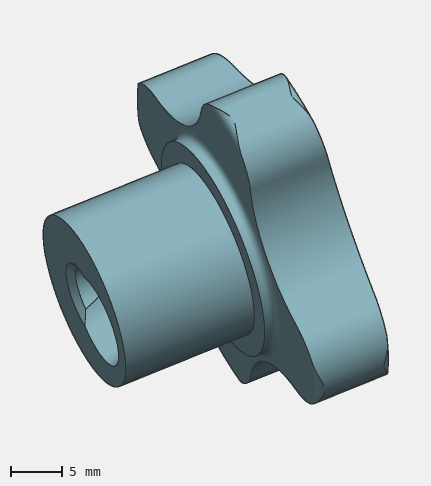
import cadquery as cq
import math


overall_length = 25.0
collar_start = 14.0
head_start = 15.4

hub_radius = 18.0 / 2
collar_radius = 22.5 / 2
collar_fillet = 0.7

lobe_count = 4
head_radius = 40.0 / 2
lobe_radius = 5.43
scallop_radius = 12.1
crown_radius = 120.0
rim_fillet = 1.0
tip_clearance = 0.01

bore_radius = 6.6 / 2
bore_mouth_radius = 8.0 / 2
tilted_bore_radius = 9.4 / 2
tilt_angle = 12.0

lobe_center = head_radius - lobe_radius
lobe_pitch = 2 * math.pi / lobe_count
half_pitch = lobe_pitch / 2
center_distance = lobe_radius + scallop_radius
scallop_center = lobe_center * math.cos(half_pitch) + math.sqrt(
    center_distance**2 - (lobe_center * math.sin(half_pitch)) ** 2
)
tangent_ratio = lobe_radius / center_distance


def polar(radius, angle):
    return (radius * math.cos(angle), radius * math.sin(angle))


def tangent_point(lobe_angle, side):
    """Point where a lobe meets the scallop on one side of it (side is -1 or +1)."""
    lobe = polar(lobe_center, lobe_angle)
    scallop = polar(scallop_center, lobe_angle + side * half_pitch)
    return tuple(a + tangent_ratio * (b - a) for a, b in zip(lobe, scallop))


def axial_cylinder(radius, start, end):
    return cq.Workplane("XZ", origin=(0, start, 0)).circle(radius).extrude(start - end)


def make_star_prism():
    outline = cq.Workplane("XZ", origin=(0, head_start, 0)).moveTo(*tangent_point(0, -1))
    for index in range(lobe_count):
        angle = index * lobe_pitch
        outline = outline.threePointArc(polar(head_radius, angle), tangent_point(angle, 1))
        scallop_bottom = polar(scallop_center - scallop_radius, angle + half_pitch)
        outline = outline.threePointArc(scallop_bottom, tangent_point(angle + lobe_pitch, -1))
    return outline.close().extrude(head_start - overall_length)


def make_crowned_disc():
    """Turned blank of the head: flat behind, domed in front, rounded at both rims."""
    disc_radius = head_radius + tip_clearance
    crown_center = overall_length - crown_radius
    crown_edge = crown_center + math.sqrt(crown_radius**2 - disc_radius**2)
    mid_radius = disc_radius / 2
    crown_mid = crown_center + math.sqrt(crown_radius**2 - mid_radius**2)
    profile = (
        cq.Workplane("XY")
        .moveTo(0, head_start)
        .lineTo(disc_radius, head_start)
        .lineTo(disc_radius, crown_edge)
        .threePointArc((mid_radius, crown_mid), (0, overall_length))
        .close()
    )
    disc = profile.revolve(360, (0, 0, 0), (0, 1, 0))
    return disc.edges("%CIRCLE").fillet(rim_fillet)


def make_collar():
    """Collar flaring into the head with a concave fillet."""
    foot_radius = collar_radius + collar_fillet
    fillet_start = head_start - collar_fillet
    fillet_mid = collar_fillet * (1 - math.sqrt(0.5))
    profile = (
        cq.Workplane("XY")
        .moveTo(0, collar_start)
        .lineTo(collar_radius, collar_start)
        .lineTo(collar_radius, fillet_start)
        .threePointArc(
            (collar_radius + fillet_mid, head_start - fillet_mid),
            (foot_radius, head_start),
        )
        .lineTo(0, head_start)
        .close()
    )
    return profile.revolve(360, (0, 0, 0), (0, 1, 0))


def make_straight_bore():
    """Straight through hole with a 45 degree chamfer at the hub end."""
    chamfer_depth = bore_mouth_radius - bore_radius
    profile = (
        cq.Workplane("XY")
        .polyline(
            [
                (0, 0),
                (bore_mouth_radius, 0),
                (bore_radius, chamfer_depth),
                (bore_radius, overall_length),
                (0, overall_length),
            ]
        )
        .close()
    )
    return profile.revolve(360, (0, 0, 0), (0, 1, 0))


def make_tilted_bore():
    """Through hole crossing the knob axis at mid length, leaning toward +X at the hub end."""
    mid_length = overall_length / 2
    cutter = axial_cylinder(tilted_bore_radius, -overall_length, 2 * overall_length)
    return cutter.rotate((0, mid_length, 0), (0, mid_length, 1), tilt_angle)


head = make_star_prism().intersect(make_crowned_disc())
hub = axial_cylinder(hub_radius, 0, head_start)
body = head.union(make_collar()).union(hub)
result = body.cut(make_straight_bore()).cut(make_tilted_bore())